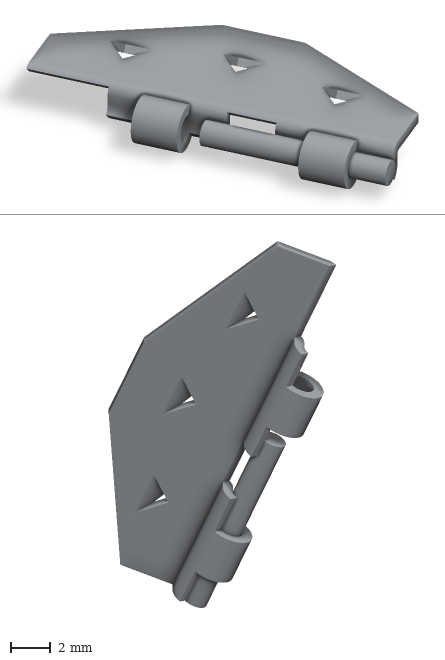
import cadquery as cq
import math


sheet = 0.55
bore_radius = 0.7
roll_radius = bore_radius + sheet
roll_end_angle = 61
tab_end_angle = -48

bend_inner_radius = 0.06
bend_outer_radius = bend_inner_radius + sheet
bend_y = roll_radius + bend_inner_radius
bend_z = 0.5
plate_top = bend_z + bend_outer_radius
plate_bottom = plate_top - sheet
lip_angle = 45

leaf_length = 20.0
shoulder_y = 4.1
back_y = 8.08
back_edge_length = 4.5

tab_length = 6.43
tab_gap = 2.65
tab_starts = [leaf_length - 2 * tab_length - tab_gap, leaf_length - tab_length]
knuckle_length = 2.5
knuckle_offset = 2.03

barb_pitch = 5.75
outer_barb_y = 4.6
middle_barb_y = 5.57
barb_half_width = 1.19
window_depth = 1.3
flap_length = 1.05
flap_angle = 35

pin_diameter = 1.35
pin_start = 10.0
pin_end = 20.1


def polar(center_y, center_z, radius, angle):
    """Point in the YZ plane at an angle in degrees from +Y toward +Z."""
    turn = math.radians(angle)
    return (center_y + radius * math.cos(turn), center_z + radius * math.sin(turn))


def ring_sector(center_y, center_z, inner, outer, start_angle, end_angle, start_x, length):
    """Part of a tube along X, between two angles."""
    middle_angle = (start_angle + end_angle) / 2
    return (
        cq.Workplane("YZ", origin=(start_x, 0, 0))
        .moveTo(*polar(center_y, center_z, inner, start_angle))
        .lineTo(*polar(center_y, center_z, outer, start_angle))
        .threePointArc(
            polar(center_y, center_z, outer, middle_angle),
            polar(center_y, center_z, outer, end_angle),
        )
        .lineTo(*polar(center_y, center_z, inner, end_angle))
        .threePointArc(
            polar(center_y, center_z, inner, middle_angle),
            polar(center_y, center_z, inner, start_angle),
        )
        .close()
        .extrude(length)
    )


def make_plate():
    back_start = (leaf_length - back_edge_length) / 2
    return (
        cq.Workplane("XY", origin=(0, 0, plate_bottom))
        .polyline([
            (0, bend_y),
            (leaf_length, bend_y),
            (leaf_length, shoulder_y),
            (leaf_length - back_start, back_y),
            (back_start, back_y),
            (0, shoulder_y),
        ])
        .close()
        .extrude(sheet)
    )


def make_bend(start_x, length, angle):
    return ring_sector(
        bend_y, bend_z, bend_inner_radius, bend_outer_radius, 90, 90 + angle, start_x, length
    )


def make_roll(start_x, length, end_angle):
    """Sheet rolled around the hinge axis, from the tab's upright part downward."""
    return ring_sector(0, 0, bore_radius, roll_radius, 0, end_angle, start_x, length)


def make_tab(start_x):
    upright = cq.Workplane("XY").box(tab_length, sheet, bend_z, centered=False)
    upright = upright.translate((start_x, bore_radius, 0))
    knuckle_start = start_x + knuckle_offset
    return (
        make_bend(start_x, tab_length, 90)
        .union(upright)
        .union(make_roll(start_x, tab_length, tab_end_angle))
        .union(make_roll(knuckle_start, knuckle_length, roll_end_angle - 360))
    )


def make_window(x, y):
    return (
        cq.Workplane("XY", origin=(x, y, plate_bottom))
        .polyline([(-barb_half_width, 0), (0, -window_depth), (barb_half_width, 0)])
        .close()
        .extrude(sheet)
    )


def make_flap(x, y):
    """Pointed flap rising toward -Y, rooted in the full height of the window's back wall."""
    slope = math.radians(flap_angle)
    thickness = sheet * math.cos(slope)
    root_length = sheet * math.sin(slope)
    tip_y = y - flap_length * math.cos(slope)
    tip_z = plate_top + flap_length * math.sin(slope)
    side = (
        cq.Workplane("YZ", origin=(x - barb_half_width, 0, 0))
        .polyline([
            (y, plate_top),
            (tip_y, tip_z),
            (tip_y - thickness * math.sin(slope), tip_z - thickness * math.cos(slope)),
            (y, plate_bottom),
        ])
        .close()
        .extrude(2 * barb_half_width)
    )
    flap_plane = cq.Plane(
        origin=(x, y, plate_top),
        xDir=(1, 0, 0),
        normal=(0, math.sin(slope), math.cos(slope)),
    )
    pointed = (
        cq.Workplane(flap_plane)
        .polyline([
            (-barb_half_width, root_length),
            (-barb_half_width, 0),
            (0, -flap_length),
            (barb_half_width, 0),
            (barb_half_width, root_length),
        ])
        .close()
        .extrude(-thickness)
    )
    return side.intersect(pointed)


def make_leaf():
    leaf = make_plate().union(make_bend(0, leaf_length, lip_angle))
    for start_x in tab_starts:
        leaf = leaf.union(make_tab(start_x))
    middle_x = leaf_length / 2
    barb_places = [
        (middle_x - barb_pitch, outer_barb_y),
        (middle_x, middle_barb_y),
        (middle_x + barb_pitch, outer_barb_y),
    ]
    for x, y in barb_places:
        leaf = leaf.cut(make_window(x, y)).union(make_flap(x, y))
    return leaf


def make_pin():
    return (
        cq.Workplane("YZ", origin=(pin_start, 0, 0))
        .circle(pin_diameter / 2)
        .extrude(pin_end - pin_start)
    )


leaf = make_leaf()
pin = make_pin()

result = cq.Compound.makeCompound([leaf.solids().val(), pin.val()])